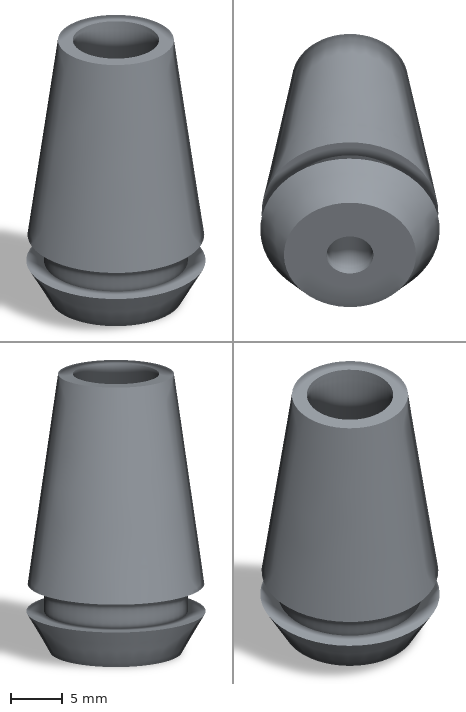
import cadquery as cq
import math

total_height = 27.5
base_radius = 6.35
rim_radius = 8.64
rim_height = 4.0
groove_radius = 6.93
groove_width = 2.72
top_radius = 5.58
taper_angle = 8.0

hole_radius = 2.25
bore_radius = 4.15
bore_depth = 13.75

groove_top = rim_height + groove_width
taper_length = total_height - groove_top
taper_base_radius = top_radius + taper_length * math.tan(math.radians(taper_angle))
bore_floor = total_height - bore_depth

half_section = [
    (hole_radius, 0),
    (base_radius, 0),
    (rim_radius, rim_height),
    (groove_radius, rim_height),
    (groove_radius, groove_top),
    (taper_base_radius, groove_top),
    (top_radius, total_height),
    (bore_radius, total_height),
    (bore_radius, bore_floor),
    (hole_radius, bore_floor),
]

result = (
    cq.Workplane("XZ")
    .polyline(half_section)
    .close()
    .revolve(360, (0, 0, 0), (0, 1, 0))
)